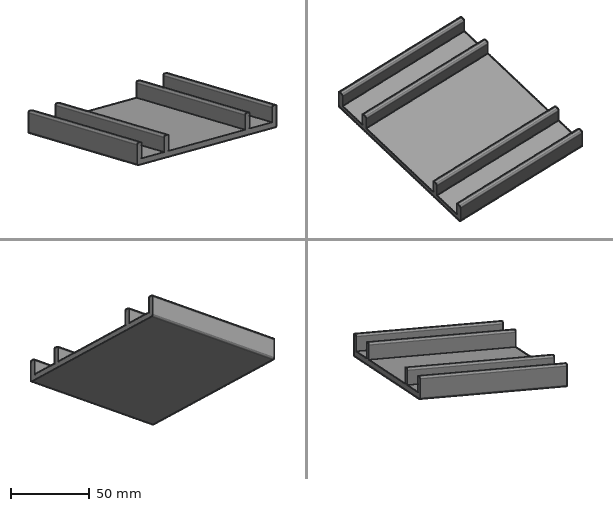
import cadquery as cq

length = 100.0
width = 124.0
height = 15.0

base_thickness = 4.0
rib_thickness = 4.0
side_channel_width = 20.0
edge_radius = 1.2

outer_rib_offset = (width - rib_thickness) / 2
inner_rib_offset = outer_rib_offset - rib_thickness - side_channel_width


def make_base():
    """Flat plate with its two long lower edges rounded."""
    plate = cq.Workplane("XY").box(length, width, base_thickness, centered=(True, True, False))
    return plate.edges("|X and <Z").fillet(edge_radius)


def make_rib(offset):
    """Full-length rib standing on the plate, centred at Y = offset, with a rounded top."""
    rib_height = height - base_thickness
    rib = (
        cq.Workplane("XY", origin=(0, offset, base_thickness))
        .box(length, rib_thickness, rib_height, centered=(True, True, False))
    )
    return rib.edges("|X and >Z").fillet(edge_radius)


result = make_base()
for rib_offset in (-outer_rib_offset, -inner_rib_offset, inner_rib_offset, outer_rib_offset):
    result = result.union(make_rib(rib_offset))
result = result.clean()